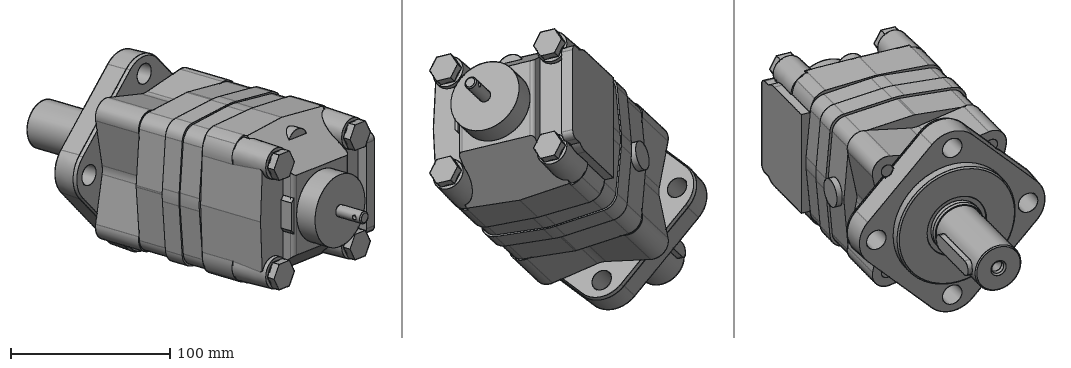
import cadquery as cq
import math


collar_start = 56.0
pilot_front = 59.2
flange_front = 66.0
flange_back = 84.0
block_front = 119.7
plate_front = 142.7
gear_front = 156.5
cover_front = 172.5
slope_start = 198.0
cover_side_end = 222.2
pillar_end = 225.0
nose_end = 231.0
boss_end = 246.2
overall_length = 266.7

neck_corner_center = 36.5
neck_corner_radius = 10.5
neck_slope = -11.2
neck_crown_half = 3.0
block_corner_center = 36.3
block_corner_radius = 10.0
block_slope = 4.9
block_crown_half = 0.5
plate_corner_center = 37.0
plate_corner_radius = 10.7
plate_slope = 5.0
ring_corner_center = 36.3
ring_corner_radius = 10.5
ring_slope = 5.4
ring_crown_half = 4.3

bolt_offset = 36.5
bolt_dia = 8.3
bolt_hole_end = 80.0
drill_tip_length = 2.0
washer_dia = 16.0
washer_thickness = 0.8
hex_across_flats = 17.0
hex_thickness = 5.5
hex_across_corners = hex_across_flats / math.cos(math.radians(30))

shaft_dia = 32.0
shaft_chamfer = 0.8
collar_tip_dia = 33.3
collar_dia = 35.0
collar_taper_length = 1.5
center_hole_dia = 8.3
center_hole_depth = 4.0
center_sink_dia = 10.7
center_sink_depth = 1.0
key_start = 4.8
key_length = 45.3
key_width = 10.1
key_seat = 11.2
key_top = 19.0

pilot_dia = 82.7
pilot_chamfer = 1.0
seal_recess_dia = 41.5
seal_recess_depth = 1.3
flange_reach = 65.5
flange_corner_radius = 20.0
flange_draft = 2.5
flange_rim = 2.5
flange_rim_inset = 0.8
mount_hole_dia = 13.5
mount_hole_radius = 53.0

plug_dia = 18.7
plug_x = 131.7
plug_top = 52.8
plug_seat = 45.3

roof_ridge = 51.0
roof_edge_y = 36.3
roof_edge_z = 49.0
corner_upper = (40.3, 47.7)
corner_mid = (43.7, 45.0)
corner_lower = (46.5, 39.2)
side_ridge = 48.5
side_edge_y = 47.0
side_edge_z = 32.3
pillar_radius = 10.5
pillar_root_radius = 11.2
pillar_inner_edge = 35.0
nose_half = 26.7
nose_edge_radius = 2.7
rib_base_half = 12.0
rib_top_half = 9.3
rib_height = 2.1
port_face_y = 53.0
port_face_seat = 45.3
port_face_half = 35.7
port_face_end = 229.0
port_shoulder_start = 211.2
port_shoulder_end = 219.2
port_shoulder_drop = 2.7
port_corner_radius = 4.5
bump_dia = 18.7
bump_end = 211.2
bump_z = 37.0
boss_dia = 48.0
tacho_shaft_dia = 8.0
tacho_chamfer = 0.8
pin_hole_dia = 3.0
pin_hole_x = 261.4


def section_plane(x):
    """Workplane across the axis at x: local x is Y and local y is Z."""
    return cq.Workplane("YZ", origin=(x, 0, 0))


def rod(x_start, x_end, dia, y=0, z=0):
    """Cylinder parallel to the axis."""
    return section_plane(x_start).center(y, z).circle(dia / 2).extrude(x_end - x_start)


def corner_points(offset):
    """(Y, Z) places at the four corners of a square."""
    return [(y, z) for y in (-offset, offset) for z in (-offset, offset)]


def turned(point, quarter_turns):
    """Turn a (Y, Z) point about the axis."""
    y, z = point
    for _ in range(quarter_turns):
        y, z = -z, y
    return y, z


def crowned_block(x_start, x_end, corner_center, corner_radius, slope, crown_half):
    """Rounded square block whose four sides fall from their middle by `slope` degrees.

    A negative slope gives hollow sides. Over +-crown_half the middle of each side is round.
    """
    angle = math.radians(slope)
    along = corner_center + corner_radius * math.sin(angle)
    height = corner_center + corner_radius * math.cos(angle)
    crown_edge_height = height + (along - crown_half) * math.tan(angle)
    middle_height = crown_edge_height + crown_half * math.tan(angle / 2)
    corner_mid = corner_center + corner_radius * math.sqrt(0.5)

    profile = section_plane(x_start).moveTo(along, height)
    for turn in range(4):
        profile = profile.lineTo(*turned((crown_half, crown_edge_height), turn))
        profile = profile.threePointArc(
            turned((0, middle_height), turn),
            turned((-crown_half, crown_edge_height), turn),
        )
        profile = profile.lineTo(*turned((-along, height), turn))
        profile = profile.threePointArc(
            turned((-corner_mid, corner_mid), turn),
            turned((-height, along), turn),
        )
    return profile.close().extrude(x_end - x_start)


def diamond(x, corner_reach):
    """Rounded square outline standing on its corner."""
    center_reach = corner_reach - flange_corner_radius
    side = math.sqrt(2) * center_reach + 2 * flange_corner_radius
    outline = cq.Sketch().rect(side, side).vertices().fillet(flange_corner_radius)
    eighth_turn = cq.Location(cq.Vector(), cq.Vector(0, 0, 1), 45)
    return section_plane(x).placeSketch(outline.moved(eighth_turn))


def bolt_holes(x_start, x_end):
    """The four bolt holes as one cutting body."""
    centers = section_plane(x_start).pushPoints(corner_points(bolt_offset))
    return centers.circle(bolt_dia / 2).extrude(x_end - x_start)


def make_flange():
    rim_start = flange_back - flange_rim
    drafted_length = rim_start - flange_front
    front_reach = flange_reach - drafted_length * math.tan(math.radians(flange_draft))
    flange = diamond(flange_front, front_reach).extrude(drafted_length, taper=-flange_draft)
    rim_taper = math.degrees(math.atan2(flange_rim_inset, flange_rim))
    flange = flange.union(diamond(rim_start, flange_reach).extrude(flange_rim, taper=rim_taper))
    mount_points = [turned((mount_hole_radius, 0), turn) for turn in range(4)]
    length = flange_back - flange_front
    hole_centers = section_plane(flange_front).pushPoints(mount_points)
    return flange.cut(hole_centers.circle(mount_hole_dia / 2).extrude(length))


def make_housing(shaft):
    pilot = rod(pilot_front, flange_front, pilot_dia).faces("<X").chamfer(pilot_chamfer)
    neck = crowned_block(
        flange_back, block_front,
        neck_corner_center, neck_corner_radius,
        neck_slope, neck_crown_half,
    )
    block = crowned_block(
        block_front, plate_front,
        block_corner_center, block_corner_radius,
        block_slope, block_crown_half,
    )
    plug_plane = cq.Workplane("XZ", origin=(plug_x, plug_top, 0))
    plug = plug_plane.circle(plug_dia / 2).extrude(plug_top - plug_seat)
    body = make_flange().union(pilot).union(neck).union(block).union(plug)

    body = body.cut(rod(pilot_front, pilot_front + seal_recess_depth, seal_recess_dia))
    body = body.cut(bolt_holes(bolt_hole_end, plate_front))
    for y, z in corner_points(bolt_offset):
        tip = cq.Solid.makeCone(
            0, bolt_dia / 2, drill_tip_length,
            cq.Vector(bolt_hole_end - drill_tip_length, y, z), cq.Vector(1, 0, 0),
        )
        body = body.cut(cq.Workplane(tip))
    return body.cut(shaft)


def make_plate():
    plate = crowned_block(
        plate_front, gear_front,
        plate_corner_center, plate_corner_radius,
        plate_slope, ring_crown_half,
    )
    return plate.cut(bolt_holes(plate_front, gear_front))


def make_gear_ring():
    ring = crowned_block(
        gear_front, cover_front,
        ring_corner_center, ring_corner_radius,
        ring_slope, ring_crown_half,
    )
    return ring.cut(bolt_holes(gear_front, cover_front))


def cover_front_part():
    """Full section of the cover with rounded corners, ahead of the sloping faces."""
    return (
        section_plane(cover_front)
        .moveTo(0, roof_ridge)
        .lineTo(roof_edge_y, roof_edge_z)
        .threePointArc(corner_upper, corner_mid)
        .threePointArc(corner_lower, (side_edge_y, side_edge_z))
        .lineTo(side_ridge, 0)
        .lineTo(0, 0)
        .close()
        .extrude(slope_start - cover_front)
    )


def cover_rear_part():
    """Section between the bolt pillars, without the rounded corners."""
    side_fall = (side_ridge - side_edge_y) / side_edge_z
    return (
        section_plane(slope_start)
        .moveTo(0, roof_ridge)
        .lineTo(roof_edge_y, roof_edge_z)
        .lineTo(roof_edge_y, pillar_inner_edge)
        .lineTo(side_ridge - side_fall * pillar_inner_edge, pillar_inner_edge)
        .lineTo(side_ridge, 0)
        .lineTo(0, 0)
        .close()
        .extrude(cover_side_end - slope_start)
    )


def make_cover_core():
    """Crowned block with its top and bottom sloping down to the nose."""
    quarter = cover_front_part().union(cover_rear_part())
    half = quarter.union(quarter.mirror("XY"))
    core = half.union(half.mirror("XZ"))
    nose_length = nose_end - cover_side_end
    nose = section_plane(cover_side_end).rect(2 * nose_half, 2 * roof_ridge).extrude(nose_length)
    nose = nose.faces(">X").edges("|Z").fillet(nose_edge_radius)
    side_profile = (
        cq.Workplane("XZ")
        .moveTo(cover_front, -roof_ridge)
        .lineTo(slope_start, -roof_ridge)
        .lineTo(nose_end, -nose_half)
        .lineTo(nose_end, nose_half)
        .lineTo(slope_start, roof_ridge)
        .lineTo(cover_front, roof_ridge)
        .close()
        .extrude(roof_ridge, both=True)
    )
    return core.union(nose).intersect(side_profile)


def make_port_face():
    """Flat pad on the +Y side that carries the oil ports."""
    tail_half = port_face_half - port_shoulder_drop
    shoulder_length = port_shoulder_end - port_shoulder_start
    shoulder_radius = (shoulder_length**2 + port_shoulder_drop**2) / (2 * port_shoulder_drop)
    half = (
        cq.Workplane("XZ", origin=(0, port_face_y, 0))
        .moveTo(cover_front, 0)
        .lineTo(cover_front, port_face_half)
        .lineTo(port_shoulder_start, port_face_half)
        .radiusArc((port_shoulder_end, tail_half), shoulder_radius)
        .lineTo(port_face_end - port_corner_radius, tail_half)
        .radiusArc((port_face_end, tail_half - port_corner_radius), port_corner_radius)
        .lineTo(port_face_end, 0)
        .close()
        .extrude(port_face_y - port_face_seat)
    )
    return half.union(half.mirror("XY"))


def make_nose_rib():
    """Raised band with sloping flanks on the -Y side of the nose."""
    return (
        section_plane(cover_side_end)
        .polyline([
            (-nose_half, -rib_base_half),
            (-nose_half - rib_height, -rib_top_half),
            (-nose_half - rib_height, rib_top_half),
            (-nose_half, rib_base_half),
        ])
        .close()
        .extrude(nose_end - cover_side_end)
    )


def make_pillar(y, z):
    """Bolt pillar narrowing toward its end."""
    return cq.Workplane(cq.Solid.makeCone(
        pillar_root_radius, pillar_radius, pillar_end - slope_start,
        cq.Vector(slope_start, y, z), cq.Vector(1, 0, 0),
    ))


def make_cover():
    cover = make_cover_core().union(make_port_face()).union(make_nose_rib())
    for y, z in corner_points(bolt_offset):
        cover = cover.union(make_pillar(y, z))
    cover = cover.union(rod(slope_start, bump_end, bump_dia, 0, bump_z))
    cover = cover.union(rod(nose_end, boss_end, boss_dia))
    tacho_shaft = rod(boss_end, overall_length, tacho_shaft_dia).faces(">X").chamfer(tacho_chamfer)
    pin_plane = cq.Workplane("XZ", origin=(pin_hole_x, 0, 0))
    pin_hole = pin_plane.circle(pin_hole_dia / 2).extrude(tacho_shaft_dia, both=True)
    cover = cover.union(tacho_shaft.cut(pin_hole))
    return cover.cut(bolt_holes(cover_front, pillar_end))


def make_bolt(y, z):
    shank = rod(flange_back, pillar_end, bolt_dia, y, z)
    washer = rod(pillar_end, pillar_end + washer_thickness, washer_dia, y, z)
    head_plane = section_plane(pillar_end + washer_thickness).center(y, z)
    head = head_plane.polygon(6, hex_across_corners).extrude(hex_thickness)
    return shank.union(washer).union(head)


def make_key():
    return (
        cq.Workplane("XZ", origin=(key_start + key_length / 2, key_top, 0))
        .slot2D(key_length, key_width)
        .extrude(key_top - key_seat)
    )


def make_shaft(key):
    shaft = rod(0, pilot_front, shaft_dia).faces("<X").chamfer(shaft_chamfer)
    collar = (
        cq.Workplane("XY")
        .moveTo(collar_start, 0)
        .lineTo(collar_start, collar_tip_dia / 2)
        .lineTo(collar_start + collar_taper_length, collar_dia / 2)
        .lineTo(flange_front, collar_dia / 2)
        .lineTo(flange_front, 0)
        .close()
        .revolve(360, (0, 0, 0), (1, 0, 0))
    )
    center_hole = (
        cq.Workplane("XY")
        .moveTo(0, 0)
        .lineTo(0, center_sink_dia / 2)
        .lineTo(center_sink_depth, center_hole_dia / 2)
        .lineTo(center_hole_depth, center_hole_dia / 2)
        .lineTo(center_hole_depth + center_hole_dia / 2, 0)
        .close()
        .revolve(360, (0, 0, 0), (1, 0, 0))
    )
    return shaft.union(collar).cut(center_hole).cut(key)


key = make_key()
output_shaft = make_shaft(key)
housing = make_housing(output_shaft)
plate = make_plate()
gear_ring = make_gear_ring()
cover = make_cover()
bolts = [make_bolt(y, z) for y, z in corner_points(bolt_offset)]

result = cq.Compound.makeCompound([
    key.val(),
    output_shaft.val(),
    housing.val(),
    plate.val(),
    gear_ring.val(),
    cover.val(),
    *[bolt.val() for bolt in bolts],
])